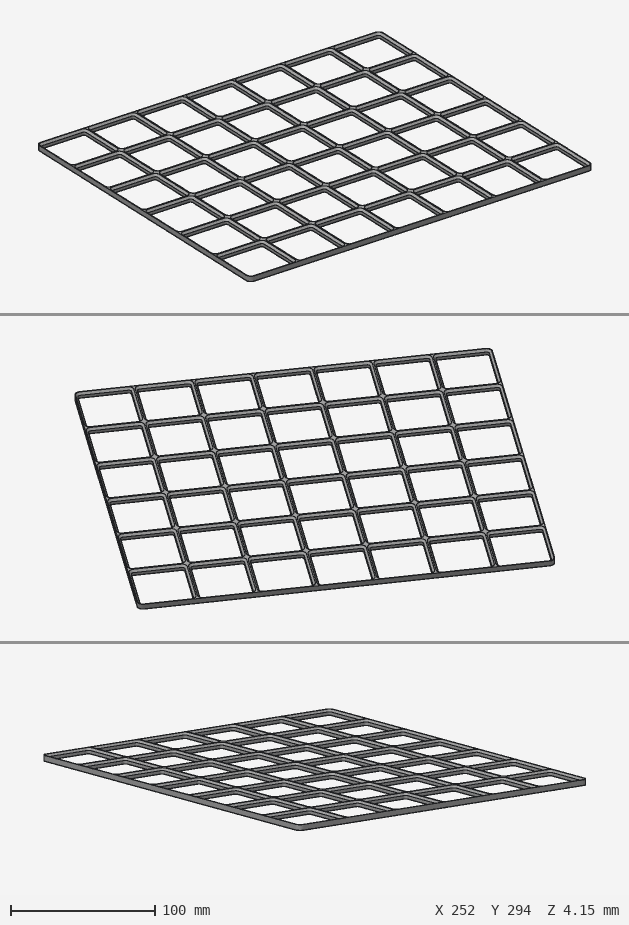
import cadquery as cq

PITCH = 42.0
COLUMNS = 6
ROWS = 7
CORNER_RADIUS = 4.0

STRAIGHT_HEIGHT = 2.5
SLOPE_HEIGHT = 1.65
SLOPE_ANGLE = 45.0
HEIGHT = STRAIGHT_HEIGHT + SLOPE_HEIGHT

TOP_LAND = 0.5

WALL_INSET = TOP_LAND + SLOPE_HEIGHT


def pocket_section(z):
    """Rounded square of the straight pocket wall, placed at height z."""
    side = PITCH - 2 * WALL_INSET
    return (
        cq.Sketch()
        .rect(side, side)
        .vertices()
        .fillet(CORNER_RADIUS - WALL_INSET)
        .moved(cq.Location(cq.Vector(0, 0, z)))
    )


def make_pocket():
    """Through opening of one cell: straight wall below, widening slope above."""
    straight = cq.Workplane("XY").placeSketch(pocket_section(0)).extrude(STRAIGHT_HEIGHT)
    slope = (
        cq.Workplane("XY")
        .placeSketch(pocket_section(STRAIGHT_HEIGHT))
        .extrude(SLOPE_HEIGHT, taper=-SLOPE_ANGLE)
    )
    return straight.union(slope)


def make_plate():
    """Solid plate with rounded vertical corners, its bottom face at z = 0."""
    return (
        cq.Workplane("XY")
        .rect(COLUMNS * PITCH, ROWS * PITCH)
        .extrude(HEIGHT)
        .edges("|Z")
        .fillet(CORNER_RADIUS)
    )


pocket = make_pocket().val()
cells = cq.Workplane("XY").rarray(PITCH, PITCH, COLUMNS, ROWS)
pockets = cells.eachpoint(lambda location: pocket.moved(location), combine=False)
result = make_plate().cut(pockets)